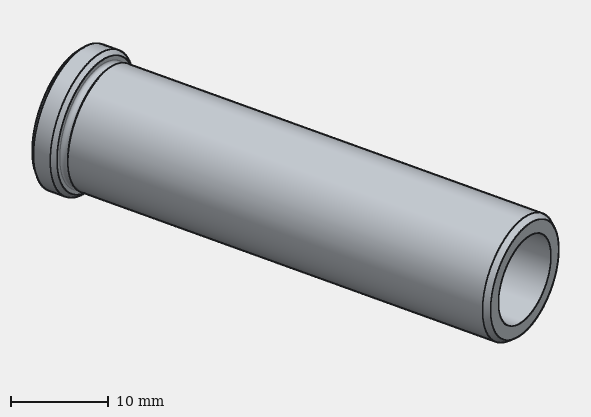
import cadquery as cq

total_length = 55.0
flange_radius = 16.0 / 2
flange_thickness = 3.0
flange_chamfer = 0.5
body_radius = 14.0 / 2
bore_radius = 10.0 / 2
bore_chamfer = 0.2

groove_width = 1.0

lead_length = 0.65
lead_depth = 0.5

flange_rim_radius = flange_radius - flange_chamfer
groove_end = flange_thickness + groove_width
groove_bottom = (flange_thickness + groove_width / 2, body_radius - groove_width / 2)

half_section = (
    cq.Workplane("XY")
    .moveTo(0, bore_radius + bore_chamfer)
    .lineTo(0, flange_rim_radius)
    .lineTo(flange_chamfer, flange_radius)
    .lineTo(flange_thickness - flange_chamfer, flange_radius)
    .lineTo(flange_thickness, flange_rim_radius)
    .lineTo(flange_thickness, body_radius)
    .threePointArc(groove_bottom, (groove_end, body_radius))
    .lineTo(total_length - lead_length, body_radius)
    .lineTo(total_length, body_radius - lead_depth)
    .lineTo(total_length, bore_radius)
    .lineTo(bore_chamfer, bore_radius)
    .close()
)

result = half_section.revolve(360, (0, 0, 0), (1, 0, 0))